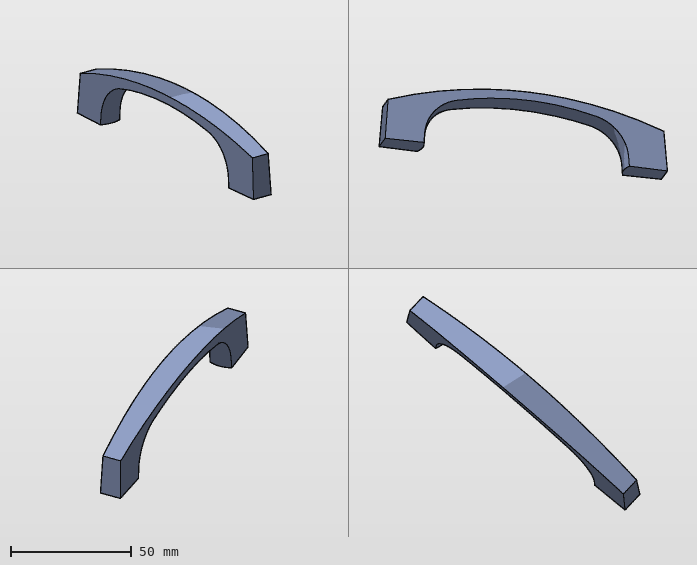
import math
import cadquery as cq

length = 122.0
height = 27.99
half_length = length / 2

end_height = 18.0
end_lean = 1.4
crown_end_x = half_length - end_lean

opening_top = 22.9
opening_half_width = 43.3
opening_arc_radius = 135.0
opening_corner_radius = 17.0
leg_lean = math.radians(4.0)

underside_radius = 12.0

middle_half_width = 5.5
foot_end_half_width = 4.6
top_end_half_width = 3.75

side_margin = 0.5
section_half_width = middle_half_width + side_margin
bow_depth = underside_radius - math.sqrt(underside_radius**2 - section_half_width**2)
lining_overlap = 1.0
ground_overrun = 3.0


def opening_points(offset):
    """Points along half of the opening, moved outward into the material by offset.

    Returns the leg start below the ground, the two ends and the middle of the corner arc,
    and the top of the opening, all at positive X.
    """
    arc_center_z = opening_top - opening_arc_radius
    center_gap = opening_arc_radius - opening_corner_radius
    normal_x = math.cos(leg_lean)
    normal_z = math.sin(leg_lean)
    leg_distance = opening_half_width * normal_x - opening_corner_radius
    along = leg_distance - arc_center_z * normal_z
    across = math.sqrt(center_gap**2 - along**2)
    corner_x = along * normal_x - across * normal_z
    corner_z = arc_center_z + along * normal_z + across * normal_x

    radius = opening_corner_radius + offset
    join_angle = math.atan2(corner_z - arc_center_z, corner_x)

    def on_corner(angle):
        return (corner_x + radius * math.cos(angle), corner_z + radius * math.sin(angle))

    leg_end = on_corner(leg_lean)
    leg_start_z = -ground_overrun
    leg_start = (leg_end[0] + (leg_end[1] - leg_start_z) * math.tan(leg_lean), leg_start_z)
    corner_middle = on_corner((leg_lean + join_angle) / 2)
    return leg_start, leg_end, corner_middle, on_corner(join_angle), (0, opening_top + offset)


def mirrored(point):
    return (-point[0], point[1])


def trace_opening(sketch, offset):
    """Draw the opening from the right leg over the top to the left leg."""
    leg_start, leg_end, corner_middle, corner_end, top = opening_points(offset)
    return (
        sketch.lineTo(*leg_end)
        .threePointArc(corner_middle, corner_end)
        .threePointArc(top, mirrored(corner_end))
        .threePointArc(mirrored(corner_middle), mirrored(leg_end))
        .lineTo(*mirrored(leg_start))
    )


def make_arch():
    """Flat-sided arch whose opening is enlarged by the depth of the rounded underside."""
    leg_start = opening_points(bow_depth)[0]
    overrun_x = half_length + end_lean * ground_overrun / end_height
    sketch = cq.Workplane("XZ").moveTo(*leg_start)
    return (
        trace_opening(sketch, bow_depth)
        .lineTo(-overrun_x, -ground_overrun)
        .lineTo(-crown_end_x, end_height)
        .threePointArc((0, height), (crown_end_x, end_height))
        .lineTo(overrun_x, -ground_overrun)
        .close()
        .extrude(section_half_width, both=True)
    )


def make_lining():
    """Layer with a rounded inner face, swept along the opening."""
    leg_start = opening_points(0)[0]
    path = trace_opening(cq.Workplane("XZ").moveTo(*leg_start), 0)
    plane = cq.Plane(
        origin=(leg_start[0], 0, leg_start[1]),
        xDir=(math.cos(leg_lean), 0, math.sin(leg_lean)),
        normal=(-math.sin(leg_lean), 0, math.cos(leg_lean)),
    )
    return (
        cq.Workplane(plane)
        .moveTo(bow_depth, -section_half_width)
        .threePointArc((0, 0), (bow_depth, section_half_width))
        .lineTo(bow_depth + lining_overlap, section_half_width)
        .lineTo(bow_depth + lining_overlap, -section_half_width)
        .close()
        .sweep(path)
    )


def bowed_outline(sketch, end_half_width):
    """Outline between two shallow arcs, widest at mid-length."""
    return (
        sketch.moveTo(-half_length, -end_half_width)
        .threePointArc((0, -middle_half_width), (half_length, -end_half_width))
        .lineTo(half_length, end_half_width)
        .threePointArc((0, middle_half_width), (-half_length, end_half_width))
        .close()
    )


def make_side_envelope():
    """Block with the bowed sides, standing on the ground plane."""
    foot = bowed_outline(cq.Workplane("XY"), foot_end_half_width)
    return bowed_outline(foot.workplane(offset=height), top_end_half_width).loft(ruled=True)


result = make_arch().union(make_lining()).intersect(make_side_envelope())